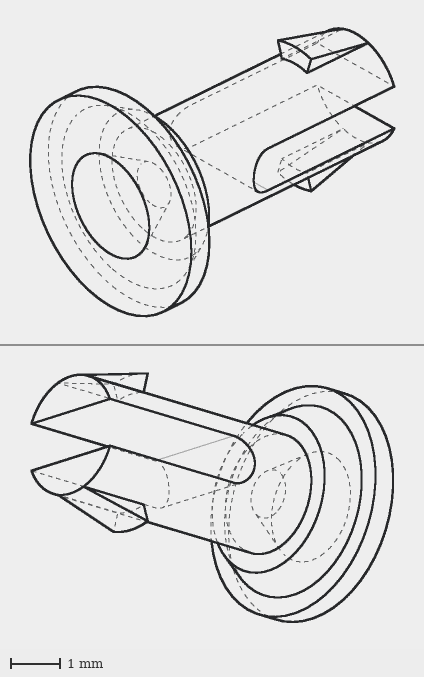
import cadquery as cq
import math

total_length = 6.8
flange_radius = 2.4
flange_thickness = 0.5
collar_base_radius = 2.0
collar_top_radius = 1.64
collar_height = 0.7
stem_radius = 1.25
slot_width = 1.0
slot_depth = 4.0
recess_mouth_radius = 1.15
recess_floor_radius = 0.5
barb_tip_radius = 1.65
barb_length = 1.7
barb_half_angle = 17.5

collar_end = flange_thickness + collar_height
recess_depth = collar_end


def revolve_profile(points, angle=360):
    """Turn a closed (radius, Y) profile about the Y axis."""
    return cq.Workplane("XY").polyline(points).close().revolve(angle, (0, 0, 0), (0, 1, 0))


def make_body():
    """Flange, tapered collar and stem as one turned body."""
    return revolve_profile([
        (0, 0),
        (flange_radius, 0),
        (flange_radius, flange_thickness),
        (collar_base_radius, flange_thickness),
        (collar_top_radius, collar_end),
        (stem_radius, collar_end),
        (stem_radius, total_length),
        (0, total_length),
    ])


def make_recess():
    """Blind conical recess in the flange face."""
    return revolve_profile([
        (0, 0),
        (recess_mouth_radius, 0),
        (recess_floor_radius, recess_depth),
        (0, recess_depth),
    ])


def make_slot():
    """Round-ended slot through X that splits the stem into two legs."""
    end_radius = slot_width / 2
    round_center = total_length - slot_depth + end_radius
    return (
        cq.Workplane("YZ")
        .moveTo(total_length, -end_radius)
        .lineTo(round_center, -end_radius)
        .threePointArc((round_center - end_radius, 0), (round_center, end_radius))
        .lineTo(total_length, end_radius)
        .close()
        .extrude(flange_radius, both=True)
    )


def make_barb(direction):
    """Conical sector barb with radial sides, centred at this angle from +X towards +Z."""
    root_radius = (stem_radius + slot_width / 2) / 2
    barb = revolve_profile([
        (root_radius, total_length - barb_length),
        (barb_tip_radius, total_length - barb_length),
        (stem_radius, total_length),
        (root_radius, total_length),
    ], 2 * barb_half_angle)
    middle = barb.val().Center()
    start_direction = math.degrees(math.atan2(middle.z, middle.x))
    return barb.rotate((0, 0, 0), (0, 1, 0), start_direction - direction)


result = make_body().cut(make_recess()).cut(make_slot())
for barb_direction in (90, -90):
    result = result.union(make_barb(barb_direction))